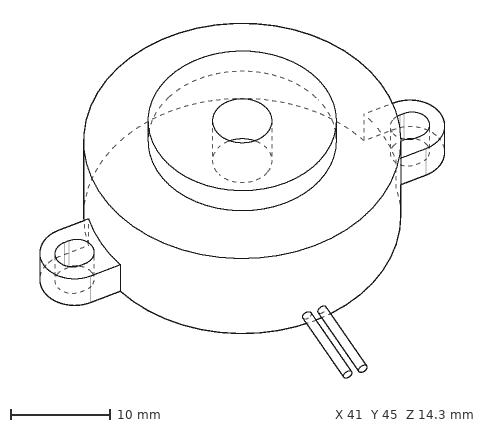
import cadquery as cq

body_diameter = 32.0
body_height = 11.3
boss_diameter = 19.0
boss_height = 3.0
total_height = body_height + boss_height

sound_hole_diameter = 6.0
sound_hole_depth = 6.0

overall_length = 45.0
ear_width = 7.0
ear_height = 4.0
ear_center_y = (overall_length - ear_width) / 2
slot_width = 3.5
slot_length = 4.0

wire_diameter = 1.0
wire_spacing = 1.7
wire_center_z = 1.2
wire_length = 9.0
wire_embed = 0.9


def make_housing():
    body = cq.Workplane("XY").circle(body_diameter / 2).extrude(body_height)
    boss = cq.Workplane("XY").workplane(offset=body_height).circle(boss_diameter / 2).extrude(boss_height)
    return body.union(boss)


def make_ears():
    """One round-ended bar across the housing forms both ears."""
    return cq.Workplane("XY").slot2D(overall_length, ear_width, 90).extrude(ear_height)


def make_ear_slots():
    return (
        cq.Workplane("XY")
        .pushPoints([(0, -ear_center_y), (0, ear_center_y)])
        .slot2D(slot_length, slot_width, 90)
        .extrude(ear_height)
    )


def make_sound_hole():
    floor_z = total_height - sound_hole_depth
    return (
        cq.Workplane("XY")
        .workplane(offset=floor_z)
        .circle(sound_hole_diameter / 2)
        .extrude(sound_hole_depth)
    )


def make_wires():
    return (
        cq.Workplane("YZ")
        .workplane(offset=body_diameter / 2 - wire_embed)
        .pushPoints([(-wire_spacing / 2, wire_center_z), (wire_spacing / 2, wire_center_z)])
        .circle(wire_diameter / 2)
        .extrude(wire_embed + wire_length)
    )


result = (
    make_housing()
    .union(make_ears())
    .union(make_wires())
    .cut(make_ear_slots())
    .cut(make_sound_hole())
)